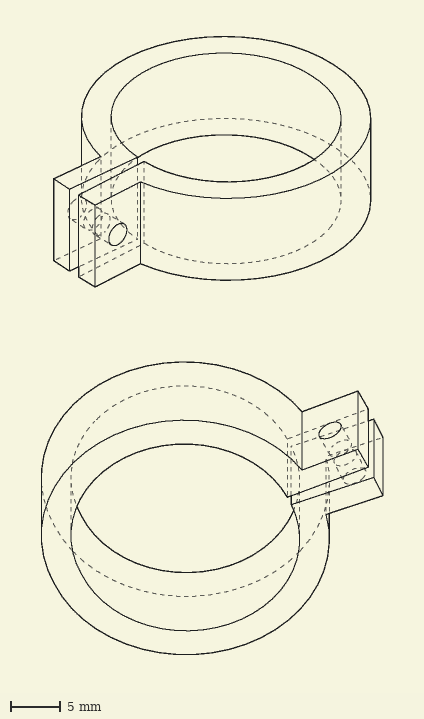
import cadquery as cq

overall_length = 35.0
height = 10.0
outer_radius = 14.5
wall = 3.0
ear_thickness = 2.5
hole_diameter = 2.5
hole_to_ear_end = 3.1
opening_angle = 1.25

inner_radius = outer_radius - wall
ear_end = overall_length - outer_radius


def straight_half():
    """Right half of the closed clamp, cut by the plane X = 0, before it is swung open."""
    ring = cq.Workplane("XY").circle(outer_radius).extrude(height)
    ear = (
        cq.Workplane("XY")
        .rect(2 * ear_thickness, ear_end)
        .extrude(height)
        .translate((0, -ear_end / 2, 0))
    )
    bore = cq.Workplane("XY").circle(inner_radius).extrude(height)
    right_side = (
        cq.Workplane("XY")
        .rect(overall_length, 2 * overall_length)
        .extrude(height)
        .translate((overall_length / 2, 0, 0))
    )
    return ring.union(ear).cut(bore).intersect(right_side)


def bolt_hole():
    """Round hole along X through both ears, at mid height."""
    return (
        cq.Workplane("YZ")
        .center(-ear_end + hole_to_ear_end, height / 2)
        .circle(hole_diameter / 2)
        .extrude(outer_radius, both=True)
    )


pivot_bottom = (0, inner_radius, 0)
pivot_top = (0, inner_radius, height)
right_half = straight_half().cut(bolt_hole()).rotate(pivot_bottom, pivot_top, opening_angle)
left_half = right_half.mirror("YZ")

result = right_half.union(left_half)